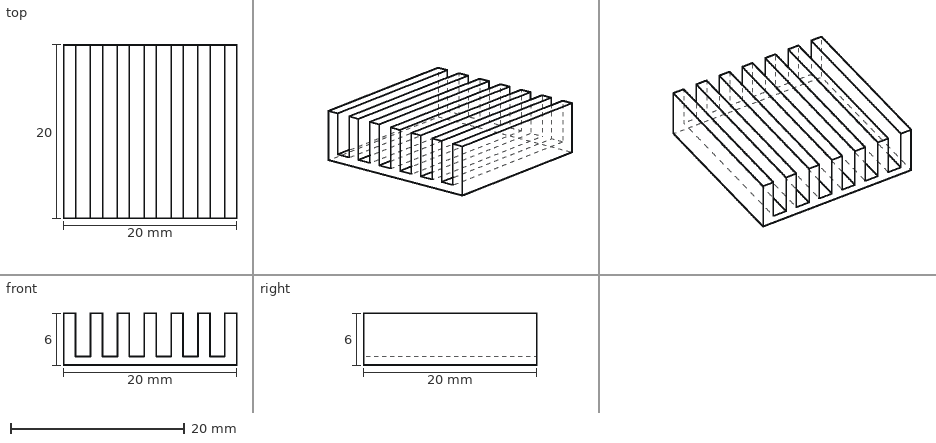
import cadquery as cq

side = 20.0
height = 6.0

base_thickness = 1.0
fin_count = 7
fin_thickness = 1.4
fin_pitch = (side - fin_thickness) / (fin_count - 1)
fin_height = height - base_thickness


def make_base():
    """Square plate resting on Z = 0, centred on the Z axis."""
    return cq.Workplane("XY").box(side, side, base_thickness, centered=(True, True, False))


def add_fins(body):
    """Evenly spaced straight fins along Y, the outer two flush with the plate edges."""
    return (
        body.faces(">Z")
        .workplane()
        .rarray(fin_pitch, side, fin_count, 1)
        .rect(fin_thickness, side)
        .extrude(fin_height)
    )


result = add_fins(make_base())